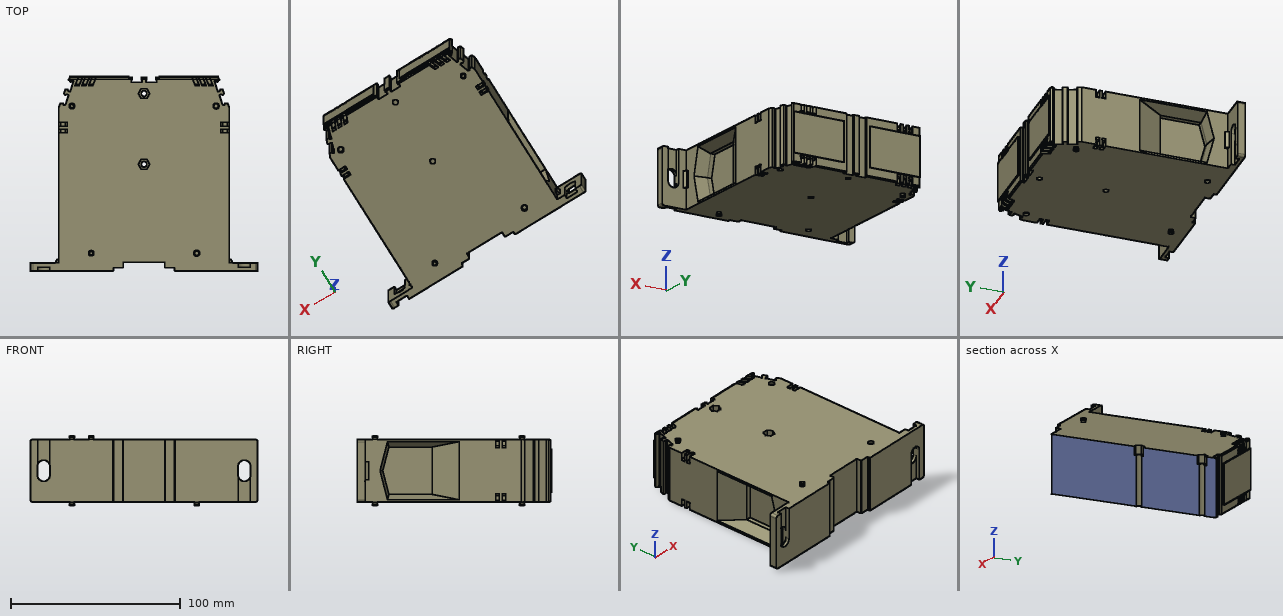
import cadquery as cq

FOOT_LENGTH = 134.0
HEIGHT = 114.8
THICKNESS = 37.0
PIN_HEIGHT = 2.0
HALF_FOOT = FOOT_LENGTH / 2
HALF_Z = THICKNESS / 2
HALF_BODY = 50.2

FOOT_DEPTH = 4.8
FOOT_CORNER_RADIUS = 1.5
SLOT_X = 59.1
SLOT_WIDTH = 7.2
SLOT_LENGTH = 12.3
CHANNEL_DEPTH = FOOT_DEPTH / 2

RECESS_OUTER_HALF = 18.0
RECESS_OUTER_DEPTH = 1.9
RECESS_INNER_HALF = 12.2
RECESS_INNER_DEPTH = 5.2
RECESS_BEVEL = 0.4

WEDGE_TOP_WIDTH = 1.0
WEDGE_WIDTH = 2.1
WEDGE_HEIGHT = 2.1
WEDGE_LENGTH = 10.5

LABEL_THICKNESS = 0.7
LABEL_OUTER_X = 43.7
LABEL_INNER_X = 9.1
LABEL_WIDTH = 25.6
FRONT_Y = HEIGHT - LABEL_THICKNESS
FRONT_BEVEL_Y = 1.0
FRONT_BEVEL_Z = 0.5

VENT_REACH = 5.0
VENT_FLOOR = 3.9
SIDE_VENT_WIDTH = 2.1
SIDE_VENT_Y = (82.7, 86.5)
FRONT_VENT_WIDTH = 2.4
FRONT_VENT_X = (29.5, 33.5, 37.5)
FRONT_VENT_LEAN = 0.4

POCKET_TAPER_DEPTH = 8.2
POCKET_DEPTH = 11.3
POCKET_MOUTH_Y = (60.2, 18.0, 13.5)
POCKET_FLOOR_Y = (44.2, 18.8, 15.1)
POCKET_MOUTH_HALF_Z = 17.2
POCKET_FLOOR_HALF_Z = 14.0

UPPER_PIN = (42.5, 97.3)
LOWER_PIN = (31.1, 10.6)
PIN_HEAD_RADIUS = 1.6
PIN_NECK_RADIUS = 1.3
PIN_TIP_RADIUS = 1.1
PIN_HEAD_HEIGHT = 0.8
PIN_TIP_HEIGHT = 0.3
SOCKET_RADIUS = 1.7
SOCKET_FLOOR_RADIUS = 1.3
SOCKET_DEPTH = 2.0
SCREW_Y = (63.0, 104.7)
SCREW_DIAMETER = 3.2
NUT_ACROSS_CORNERS = 6.7
NUT_DEPTH = 5.4


def mirror_x(shape):
    """The shape together with its mirror image across the middle plane X = 0."""
    return shape.union(shape.mirror("YZ"))


def box(x_range, y_range, z_range):
    corner = (x_range[0], y_range[0], z_range[0])
    size = (x_range[1] - x_range[0], y_range[1] - y_range[0], z_range[1] - z_range[0])
    return cq.Workplane("XY").box(*size, centered=False).translate(corner)


def make_body():
    right_half = [
        (0, RECESS_INNER_DEPTH),
        (RECESS_INNER_HALF, RECESS_INNER_DEPTH),
        (RECESS_INNER_HALF, RECESS_OUTER_DEPTH + RECESS_BEVEL),
        (RECESS_INNER_HALF + RECESS_BEVEL, RECESS_OUTER_DEPTH),
        (RECESS_OUTER_HALF, RECESS_OUTER_DEPTH),
        (RECESS_OUTER_HALF, RECESS_BEVEL),
        (RECESS_OUTER_HALF + RECESS_BEVEL, 0),
        (HALF_BODY, 0),
        (HALF_BODY, 96.7),
        (49.3, 98.9),
        (47.7, 98.9),
        (47.3, 98.0),
        (46.4, 98.1),
        (44.5, 103.7),
        (45.4, 104.1),
        (46.4, 103.7),
        (47.3, 104.7),
        (46.4, 107.0),
        (44.9, 107.0),
        (44.5, 106.1),
        (43.5, 105.9),
        (41.5, 112.2),
        (42.5, 112.4),
        (43.0, 111.4),
        (43.7, 111.9),
        (44.5, 112.8),
        (LABEL_OUTER_X, FRONT_Y),
        (7.0, FRONT_Y),
        (7.0, 112.7),
        (7.5, 112.7),
        (7.5, 111.4),
        (1.2, 111.4),
        (1.2, 112.7),
        (1.7, 112.7),
        (1.7, FRONT_Y),
        (0, FRONT_Y),
    ]
    half = cq.Workplane("XY").polyline(right_half).close().extrude(HALF_Z, both=True)
    return mirror_x(half)


def make_front_bevel():
    """Wedges that bevel the two long front edges."""
    profile = [
        (FRONT_Y - FRONT_BEVEL_Y, HALF_Z),
        (FRONT_Y, HALF_Z),
        (FRONT_Y, HALF_Z - FRONT_BEVEL_Z),
    ]
    upper = cq.Workplane("YZ").polyline(profile).close().extrude(HALF_BODY, both=True)
    return upper.union(upper.mirror("XY"))


def make_labels():
    half_width = LABEL_WIDTH / 2
    label = box((LABEL_INNER_X, LABEL_OUTER_X), (FRONT_Y, HEIGHT), (-half_width, half_width))
    return mirror_x(label)


def make_foot():
    foot = box((-HALF_FOOT, HALF_FOOT), (0, FOOT_DEPTH), (-HALF_Z, HALF_Z))
    foot = foot.edges("|Y").fillet(FOOT_CORNER_RADIUS)
    middle = box((-HALF_BODY, HALF_BODY), (0, FOOT_DEPTH), (-HALF_Z, HALF_Z))
    return foot.cut(middle)


def make_foot_slots():
    """Screw slots; a half-depth channel leads out of each, opposite ways on the two faces."""
    slots = cq.Workplane("XZ").pushPoints([(-SLOT_X, 0), (SLOT_X, 0)])
    slots = slots.slot2D(SLOT_LENGTH, SLOT_WIDTH, 90).extrude(-FOOT_DEPTH)
    straight_end = (SLOT_LENGTH - SLOT_WIDTH) / 2
    for side in (-1, 1):
        x_range = (side * SLOT_X - SLOT_WIDTH / 2, side * SLOT_X + SLOT_WIDTH / 2)
        towards_top = (straight_end, HALF_Z)
        towards_bottom = (-HALF_Z, -straight_end)
        near_z = towards_top if side < 0 else towards_bottom
        far_z = towards_bottom if side < 0 else towards_top
        slots = slots.union(box(x_range, (0, CHANNEL_DEPTH), near_z))
        slots = slots.union(box(x_range, (CHANNEL_DEPTH, FOOT_DEPTH), far_z))
    return slots


def make_wedges():
    profile = [
        (HALF_BODY, FOOT_DEPTH),
        (HALF_BODY + WEDGE_WIDTH, FOOT_DEPTH),
        (HALF_BODY + WEDGE_TOP_WIDTH, FOOT_DEPTH + WEDGE_HEIGHT),
        (HALF_BODY, FOOT_DEPTH + WEDGE_HEIGHT),
    ]
    return mirror_x(cq.Workplane("XY").polyline(profile).close().extrude(WEDGE_LENGTH / 2, both=True))


def make_vent(width, lean):
    """Notch across the edge at the origin: solid lies towards -X and -Z, width along Y."""
    bevel = VENT_REACH - VENT_FLOOR
    outside = 1.3
    profile = [
        (0, -VENT_REACH),
        (-bevel, -VENT_FLOOR),
        (-VENT_FLOOR, -VENT_FLOOR),
        (-VENT_FLOOR, -bevel),
        (-VENT_REACH, 0),
        (-VENT_REACH, outside),
        (outside, outside),
        (outside, -VENT_REACH),
    ]
    notch = cq.Workplane("XZ").polyline(profile).close().extrude(2 * VENT_REACH, both=True)
    strip = [
        (outside, lean * outside - width / 2),
        (outside, lean * outside + width / 2),
        (-VENT_REACH, -lean * VENT_REACH + width / 2),
        (-VENT_REACH, -lean * VENT_REACH - width / 2),
    ]
    return notch.intersect(cq.Workplane("XY").polyline(strip).close().extrude(2 * VENT_REACH, both=True))


def make_vents():
    vents = cq.Workplane("XY")
    side_vent = make_vent(SIDE_VENT_WIDTH, 0)
    for y in SIDE_VENT_Y:
        vents = vents.union(side_vent.translate((HALF_BODY, y, HALF_Z)))
    front_vent = make_vent(FRONT_VENT_WIDTH, FRONT_VENT_LEAN).rotate((0, 0, 0), (0, 0, 1), 90)
    for x in FRONT_VENT_X:
        vents = vents.union(front_vent.translate((x, FRONT_Y, HALF_Z)))
    vents = mirror_x(vents)
    return vents.union(vents.mirror("XY"))


def pocket_outline(start_y, corner_y, point_y, half_z):
    """Rectangle along Y whose end towards the foot is drawn out to a shallow point."""
    return [
        (start_y, -half_z),
        (corner_y, -half_z),
        (point_y, 0),
        (corner_y, half_z),
        (start_y, half_z),
    ]


def make_pockets():
    """Hand pockets in both sides: a tapered mouth, then a straight-walled floor recess."""
    mouth = pocket_outline(*POCKET_MOUTH_Y, POCKET_MOUTH_HALF_Z)
    floor = pocket_outline(*POCKET_FLOOR_Y, POCKET_FLOOR_HALF_Z)
    left = cq.Workplane("YZ", origin=(-HALF_BODY, 0, 0)).polyline(mouth).close()
    left = left.workplane(offset=POCKET_TAPER_DEPTH).polyline(floor).close().loft(ruled=True)
    recess = cq.Workplane("YZ", origin=(-HALF_BODY + POCKET_TAPER_DEPTH, 0, 0))
    recess = recess.polyline(floor).close().extrude(POCKET_DEPTH - POCKET_TAPER_DEPTH)
    return mirror_x(left.union(recess))


def joint_places(side):
    """Upper and lower joint centres on the side given by the sign of X."""
    return [(side * x, y) for x, y in (UPPER_PIN, LOWER_PIN)]


def make_pin():
    """Headed pin standing on the XY plane."""
    profile = [
        (0, 0),
        (PIN_NECK_RADIUS, 0),
        (PIN_NECK_RADIUS, PIN_HEIGHT - PIN_HEAD_HEIGHT),
        (PIN_HEAD_RADIUS, PIN_HEIGHT - PIN_HEAD_HEIGHT),
        (PIN_HEAD_RADIUS, PIN_HEIGHT - PIN_TIP_HEIGHT),
        (PIN_TIP_RADIUS, PIN_HEIGHT),
        (0, PIN_HEIGHT),
    ]
    return cq.Workplane("XZ").polyline(profile).close().revolve(360, (0, 0), (0, 1))


def make_pins():
    upper_left, lower_left = joint_places(-1)
    lower_right = joint_places(1)[1]
    top_pin = make_pin().translate((0, 0, HALF_Z))
    bottom_pin = top_pin.mirror("XY")
    pins = cq.Workplane("XY")
    for x, y in (upper_left, lower_left):
        pins = pins.union(top_pin.translate((x, y, 0)))
    for x, y in (upper_left, lower_right):
        pins = pins.union(bottom_pin.translate((x, y, 0)))
    return pins


def make_sockets():
    upper_right, lower_right = joint_places(1)
    lower_left = joint_places(-1)[1]
    bevel = SOCKET_RADIUS - SOCKET_FLOOR_RADIUS
    top = cq.Workplane("XY", origin=(0, 0, HALF_Z)).pushPoints([upper_right, lower_right])
    top = top.circle(SOCKET_RADIUS).extrude(-SOCKET_DEPTH).faces("<Z").chamfer(bevel)
    bottom = cq.Workplane("XY", origin=(0, 0, -HALF_Z)).pushPoints([upper_right, lower_left])
    bottom = bottom.circle(SOCKET_RADIUS).extrude(SOCKET_DEPTH).faces(">Z").chamfer(bevel)
    return top.union(bottom)


def make_screw_holes():
    centres = [(0, y) for y in SCREW_Y]
    top = cq.Workplane("XY", origin=(0, 0, HALF_Z)).pushPoints(centres)
    holes = top.circle(SCREW_DIAMETER / 2).extrude(-THICKNESS)
    nuts = top.polygon(6, NUT_ACROSS_CORNERS).extrude(-NUT_DEPTH)
    return holes.union(nuts)


result = make_body().cut(make_front_bevel())
result = result.union(make_labels())
result = result.cut(make_vents()).cut(make_pockets())
result = result.union(make_foot()).cut(make_foot_slots())
result = result.union(make_wedges())
result = result.cut(make_sockets()).cut(make_screw_holes())
result = result.union(make_pins())